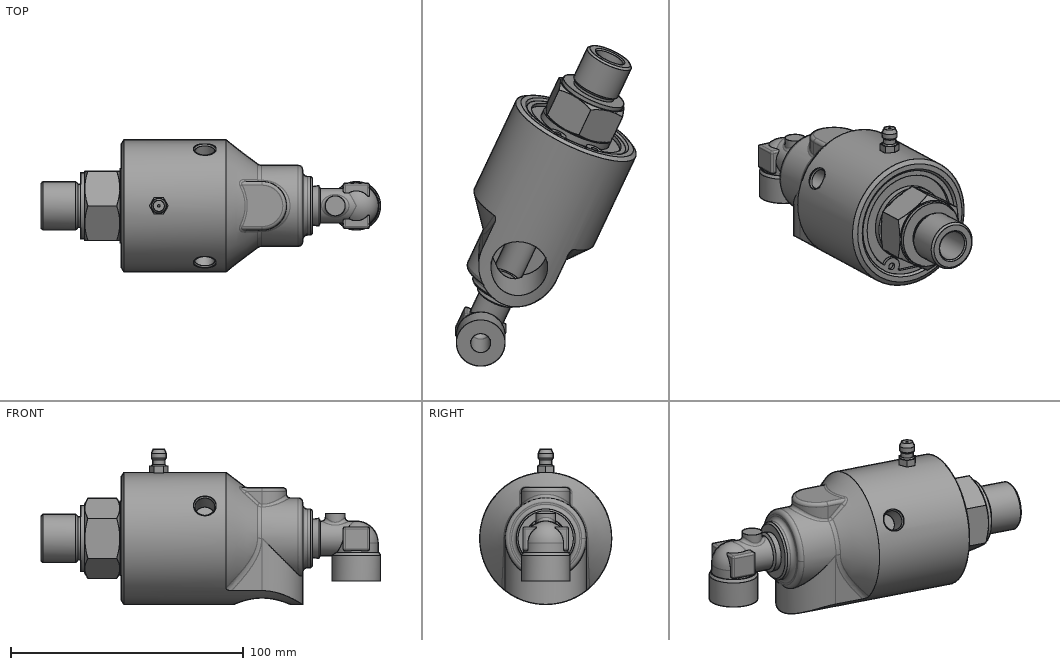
import cadquery as cq
import math


thread_dia = 20.95
thread_length = 15.0
thread_chamfer = 0.9
relief_dia = 18.8
relief_end = 17.2
shaft_flange_dia = 28.6
hex_start = 18.9
hex_end = 34.1
hex_across_flats = 30.0
hex_face_dia = 29.8
hex_chamfer_angle = 30.0
shaft_head_dia = 32.1

body_start = 34.6
body_dia = 57.0
body_chamfer_length = 1.2
body_chamfer_depth = 1.9
cone_start = 79.85
cone_end = 94.2
cone_blend_radius = 3.0
neck_dia = 35.0
neck_end = 112.9
neck_round = 2.0

recess_dia = 46.6
recess_chamfer = 1.0
ring_face_depth = 0.9
ring_thickness = 1.5
ring_inner_dia = 42.4
lug_radius = 3.9
lug_hole_dia = 3.0
lug_offset_y = 8.65
lug_offset_z = -18.5
ring_gap = 9.6

collar_dia = 25.4
collar_blend = 2.0
collar_end = 117.1
collar_chamfer = 0.8
nipple_dia = 16.7
nipple_rim_dia = 17.48
nipple_rim_end = 119.8
nipple_chamfer_length = 0.7

port_x = neck_end - neck_dia / 2
port_dia = 24.4
top_pad_dia = 21.0
top_pad_height = 21.9
top_pad_round = 1.6
top_pad_blend = 1.5
vent_x = 70.7
vent_angle = 60.0
vent_dia = 8.57
vent_mouth_dia = 9.73
vent_depth = 9.0

overall_length = 146.48
socket_dia = 21.0
elbow_x = overall_length - socket_dia / 2
elbow_tube_dia = 15.0
elbow_ball_dia = 19.0
elbow_ball_z = (elbow_tube_dia - elbow_ball_dia) / 2
socket_top_dia = 19.6
socket_cone_top = -6.0
socket_top = -7.3
socket_bottom = -18.4
elbow_pad_length = 11.3
elbow_pad_top = 5.0
elbow_pad_bottom = -5.4
elbow_pad_width = 19.6
elbow_pad_round = 0.9
plug_x = 126.9
plug_dia = 8.6
plug_top = 10.8
plug_blend = 1.6

bore_dia = 12.7
bore_mouth_dia = 13.89
elbow_bore_dia = 8.6
bore_end_clearance = 1.5
bore_end = port_x + port_dia / 2 + bore_end_clearance

fitting_x = 50.85
fitting_across_flats = 7.0
fitting_hex_top = 31.3
fitting_collar_radius = 3.2
fitting_collar_top = 31.9
fitting_neck_radius = 2.7
fitting_neck_top = 33.9
fitting_ball_radius = 3.25
fitting_ball_bottom = 34.6
fitting_ball_top = 36.7
fitting_tip_radius = 2.4
fitting_top = 38.49
fitting_hole_dia = 1.0
fitting_hole_depth = 2.0

joint_overlap = 1.0
edge_search_slack = 0.1
hex_sides = 6
body_radius = body_dia / 2
neck_radius = neck_dia / 2
ring_start = body_start + ring_face_depth
recess_floor = ring_start + ring_thickness


def x_cylinder(start, end, diameter):
    """Cylinder on the main axis between two X positions."""
    return cq.Workplane("YZ", origin=(start, 0, 0)).circle(diameter / 2).extrude(end - start)


def x_revolve(profile):
    """Solid of revolution on the main axis from (x, radius) points that close on the axis."""
    outline = [(profile[0][0], 0), *profile, (profile[-1][0], 0)]
    return cq.Workplane("XY").polyline(outline).close().revolve(360, (0, 0, 0), (1, 0, 0))


def x_cone(start, start_dia, end, end_dia):
    return x_revolve([(start, start_dia / 2), (end, end_dia / 2)])


def hex_corner_dia(across_flats):
    return across_flats / math.cos(math.pi / hex_sides)


def make_shaft():
    thread_radius = thread_dia / 2
    shaft = x_revolve([
        (0, thread_radius - thread_chamfer),
        (thread_chamfer, thread_radius),
        (thread_length, thread_radius),
        (thread_length + (thread_dia - relief_dia) / 2, relief_dia / 2),
        (relief_end, relief_dia / 2),
        (relief_end, shaft_flange_dia / 2),
        (hex_start, shaft_flange_dia / 2),
    ])
    corner_dia = hex_corner_dia(hex_across_flats)
    hexagon = (
        cq.Workplane("YZ", origin=(hex_start, 0, 0))
        .polygon(hex_sides, corner_dia)
        .extrude(hex_end - hex_start)
        .rotate((0, 0, 0), (1, 0, 0), 180 / hex_sides)
    )
    chamfer_depth = (corner_dia - hex_face_dia) / 2
    chamfer_length = chamfer_depth * math.tan(math.radians(hex_chamfer_angle))
    corner_envelope = x_revolve([
        (hex_start, hex_face_dia / 2),
        (hex_start + chamfer_length, corner_dia / 2),
        (hex_end - chamfer_length, corner_dia / 2),
        (hex_end, hex_face_dia / 2),
    ])
    head = x_cylinder(hex_end, recess_floor, shaft_head_dia)
    return shaft.union(hexagon.intersect(corner_envelope)).union(head)


def make_housing():
    housing = x_revolve([
        (body_start, body_radius - body_chamfer_depth),
        (body_start + body_chamfer_length, body_radius),
        (cone_start, body_radius),
        (cone_end, neck_radius),
        (neck_end, neck_radius),
    ])
    return housing.faces(">X").edges().fillet(neck_round)


def box_between(low, high):
    """Selector for the edges that lie wholly inside a box."""
    return cq.selectors.BoxSelector(low, high, boundingbox=True)


def u_block(width, bottom, top):
    """Upright block from the body to the port axis, ending in a half round."""
    start = cone_start - joint_overlap
    return (
        cq.Workplane("XY", origin=(0, 0, bottom))
        .moveTo(start, -width / 2)
        .lineTo(port_x, -width / 2)
        .threePointArc((port_x + width / 2, 0), (port_x, width / 2))
        .lineTo(start, width / 2)
        .close()
        .extrude(top - bottom)
    )


def make_foot():
    envelope = x_cylinder(body_start, neck_end, body_dia)
    return u_block(neck_dia, -body_radius, 0).intersect(envelope)


def make_top_pad():
    pad = u_block(top_pad_dia, 0, top_pad_height)
    return pad.faces(">Z").edges("not <X").fillet(top_pad_round)


def blend_cone_into_neck(housing):
    """Round the inner corner between the cone, the neck and the foot."""
    slack = edge_search_slack
    corner = cq.selectors.BoxSelector(
        (cone_end - slack, -neck_dia, -neck_dia), (cone_end + slack, neck_dia, neck_dia)
    )
    return housing.edges(corner).fillet(cone_blend_radius)


def blend_top_pad(housing):
    """Round the inner corner all around the top pad where it meets the cone and the neck."""
    slack = edge_search_slack
    half = top_pad_dia / 2 + slack
    pad_start_low = math.sqrt(neck_radius**2 - (top_pad_dia / 2) ** 2) - slack
    base_edges = box_between(
        (cone_start + slack, -half, pad_start_low),
        (port_x + half, half, top_pad_height - top_pad_round + slack),
    )
    return housing.edges(base_edges).fillet(top_pad_blend)


def make_recess():
    cavity = x_cylinder(body_start, recess_floor, recess_dia)
    mouth = x_cone(
        body_start, recess_dia + 2 * recess_chamfer, body_start + recess_chamfer, recess_dia
    )
    return cavity.union(mouth)


def make_retaining_ring():
    plane = cq.Workplane("YZ", origin=(ring_start, 0, 0))
    lug_centres = [(-lug_offset_y, lug_offset_z), (lug_offset_y, lug_offset_z)]
    ring = plane.circle(recess_dia / 2).circle(ring_inner_dia / 2).extrude(ring_thickness)
    lugs = plane.pushPoints(lug_centres).circle(lug_radius).extrude(ring_thickness)
    holes = plane.pushPoints(lug_centres).circle(lug_hole_dia / 2).extrude(ring_thickness)
    gap = (
        plane.center(0, lug_offset_z)
        .rect(ring_gap, 2 * (ring_inner_dia / 2 + lug_offset_z))
        .extrude(ring_thickness)
    )
    return ring.union(lugs).cut(gap).cut(holes)


def make_collars():
    """Collar, nipple and elbow tube, from inside the neck to the elbow centre."""
    collar_radius = collar_dia / 2
    blend_top = collar_radius + collar_blend
    blend_end = neck_end + collar_blend
    blend_middle = collar_blend * (1 - math.sqrt(0.5))
    return (
        cq.Workplane("XY")
        .moveTo(neck_end - neck_round, 0)
        .lineTo(neck_end - neck_round, blend_top)
        .lineTo(neck_end, blend_top)
        .threePointArc((neck_end + blend_middle, collar_radius + blend_middle), (blend_end, collar_radius))
        .lineTo(collar_end - collar_chamfer, collar_radius)
        .lineTo(collar_end, collar_radius - collar_chamfer)
        .lineTo(collar_end, nipple_dia / 2)
        .lineTo(nipple_rim_end, nipple_rim_dia / 2)
        .lineTo(nipple_rim_end + nipple_chamfer_length, elbow_tube_dia / 2)
        .lineTo(elbow_x, elbow_tube_dia / 2)
        .lineTo(elbow_x, 0)
        .close()
        .revolve(360, (0, 0, 0), (1, 0, 0))
    )


def make_elbow_pads():
    pad_height = elbow_pad_top - elbow_pad_bottom
    pads = cq.Workplane("XY", origin=(elbow_x, 0, elbow_pad_bottom + pad_height / 2)).box(
        elbow_pad_length, elbow_pad_width, pad_height
    )
    return pads.edges("|Z or >Z or <Z").fillet(elbow_pad_round)


def make_elbow():
    ball = cq.Workplane("XY", origin=(elbow_x, 0, elbow_ball_z)).sphere(elbow_ball_dia / 2)
    drop = (
        cq.Workplane("XY", origin=(elbow_x, 0, socket_top))
        .circle(elbow_ball_dia / 2)
        .extrude(elbow_ball_z - socket_top)
    )
    socket = (
        cq.Workplane("XZ", origin=(elbow_x, 0, 0))
        .moveTo(0, socket_bottom)
        .lineTo(socket_dia / 2, socket_bottom)
        .lineTo(socket_dia / 2, socket_top)
        .lineTo(socket_top_dia / 2, socket_cone_top)
        .lineTo(0, socket_cone_top)
        .close()
        .revolve(360, (0, 0, 0), (0, 1, 0))
    )
    return ball.union(drop).union(socket).union(make_elbow_pads())


def add_plug(tube):
    """Round plug on top of the elbow tube, blended into it."""
    plug = cq.Workplane("XY", origin=(plug_x, 0, 0)).circle(plug_dia / 2).extrude(plug_top)
    half = plug_dia / 2 + edge_search_slack
    base_edge = box_between(
        (plug_x - half, -half, 0), (plug_x + half, half, elbow_tube_dia / 2 + edge_search_slack)
    )
    return tube.union(plug).edges(base_edge).fillet(plug_blend)


def make_passages():
    mouth_depth = (bore_mouth_dia - bore_dia) / 2
    bore = x_cylinder(0, bore_end, bore_dia)
    mouth = x_cone(0, bore_mouth_dia, mouth_depth, bore_dia)
    tube_bore = x_cylinder(bore_end, elbow_x, elbow_bore_dia)
    corner = cq.Workplane("XY", origin=(elbow_x, 0, 0)).sphere(elbow_bore_dia / 2)
    outlet = (
        cq.Workplane("XY", origin=(elbow_x, 0, socket_bottom))
        .circle(elbow_bore_dia / 2)
        .extrude(-socket_bottom)
    )
    port = (
        cq.Workplane("XY", origin=(port_x, 0, -body_radius))
        .circle(port_dia / 2)
        .extrude(body_radius)
    )
    return bore.union(mouth).union(tube_bore).union(corner).union(outlet).union(port)


def make_vent(side_angle):
    """Radial vent hole with a countersunk mouth, turned from +Z about the main axis."""
    sink_depth = (vent_mouth_dia - vent_dia) / 2
    sink_floor = body_radius - sink_depth
    vent = (
        cq.Workplane("XZ")
        .moveTo(0, body_radius - vent_depth)
        .lineTo(vent_dia / 2, body_radius - vent_depth)
        .lineTo(vent_dia / 2, sink_floor - sink_depth)
        .lineTo(vent_mouth_dia / 2, sink_floor)
        .lineTo(vent_mouth_dia / 2, body_radius + sink_depth)
        .lineTo(0, body_radius + sink_depth)
        .close()
        .revolve(360, (0, 0, 0), (0, 1, 0))
    )
    return vent.translate((vent_x, 0, 0)).rotate((0, 0, 0), (1, 0, 0), side_angle)


def make_grease_fitting():
    base = body_radius - joint_overlap
    hexagon = (
        cq.Workplane("XY", origin=(fitting_x, 0, base))
        .polygon(hex_sides, hex_corner_dia(fitting_across_flats))
        .extrude(fitting_hex_top - base)
    )
    nipple = (
        cq.Workplane("XZ", origin=(fitting_x, 0, 0))
        .moveTo(0, base)
        .lineTo(fitting_collar_radius, base)
        .lineTo(fitting_collar_radius, fitting_hex_top)
        .lineTo(fitting_neck_radius, fitting_collar_top)
        .lineTo(fitting_neck_radius, fitting_neck_top)
        .lineTo(fitting_ball_radius, fitting_ball_bottom)
        .lineTo(fitting_ball_radius, fitting_ball_top)
        .lineTo(fitting_tip_radius, fitting_top)
        .lineTo(0, fitting_top)
        .close()
        .revolve(360, (0, 0, 0), (0, 1, 0))
    )
    hole = (
        cq.Workplane("XY", origin=(fitting_x, 0, fitting_top - fitting_hole_depth))
        .circle(fitting_hole_dia / 2)
        .extrude(fitting_hole_depth)
    )
    return hexagon.union(nipple).cut(hole)


housing = blend_cone_into_neck(make_housing().union(make_foot()))
housing = blend_top_pad(housing.union(make_top_pad()))
housing = housing.cut(make_recess()).union(make_retaining_ring())
pipework = add_plug(make_collars()).union(make_elbow())
result = make_shaft().union(housing).union(pipework).cut(make_passages())
for vent_side in (-vent_angle, vent_angle):
    result = result.cut(make_vent(vent_side))
result = result.union(make_grease_fitting())